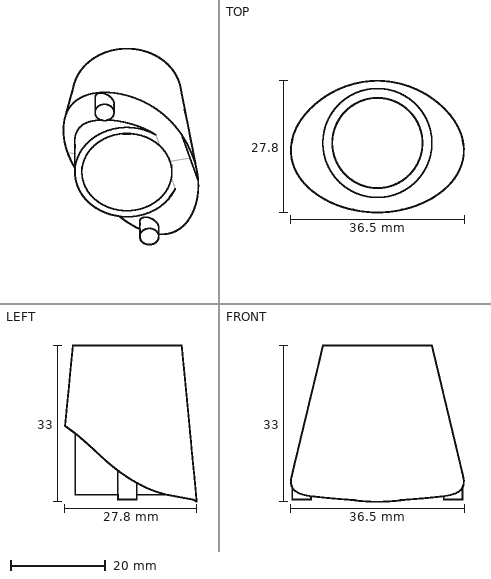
import cadquery as cq

height = 33.0
tube_bottom = 1.45
peg_bottom = 0.48

top_radius = 11.5
base_radius_x = 19.4
base_radius_y = 14.7

tube_radius = 11.0
bore_radius = 9.5

peg_radius = 2.0
peg_offset = 15.98
peg_embed_height = 9.15

front_tip = (-base_radius_y, 0)
lower_edge = [
    (-13.93, 0.45),
    (-12.03, 0.85),
    (-8.52, 1.45),
    (-4.4, 2.8),
    (0, 5.23),
    (3.9, 8.15),
    (6.8, 10.8),
    (11.0, 14.48),
    (13.13, 16.0),
]
cut_margin = 3.65
cut_width = 2 * (base_radius_x + cut_margin)


def flared_body():
    """Loft the elliptical base into the round top."""
    return (
        cq.Workplane("XY")
        .ellipse(base_radius_x, base_radius_y)
        .workplane(offset=height)
        .ellipse(top_radius, top_radius)
        .loft(ruled=True)
    )


def lower_trim():
    """Volume below the curved lower edge, extruded along X."""
    back_y, back_z = lower_edge[-1]
    return (
        cq.Workplane("YZ")
        .moveTo(*front_tip)
        .lineTo(*lower_edge[0])
        .spline(lower_edge[1:], includeCurrent=True)
        .lineTo(back_y + cut_margin, back_z + cut_margin)
        .lineTo(back_y + cut_margin, -cut_margin)
        .lineTo(front_tip[0], -cut_margin)
        .close()
        .extrude(cut_width / 2, both=True)
    )


def upright_cylinder(radius, bottom, top, x=0):
    """Vertical cylinder centred on the X axis."""
    return cq.Workplane("XY", origin=(x, 0, bottom)).circle(radius).extrude(top - bottom)


flare = flared_body()
body = flare.cut(lower_trim())
body = body.union(upright_cylinder(tube_radius, tube_bottom, height))

for side in (-1, 1):
    peg = upright_cylinder(peg_radius, peg_bottom, peg_embed_height, side * peg_offset)
    body = body.union(peg.intersect(flare))

result = body.cut(upright_cylinder(bore_radius, -cut_margin, height + cut_margin))